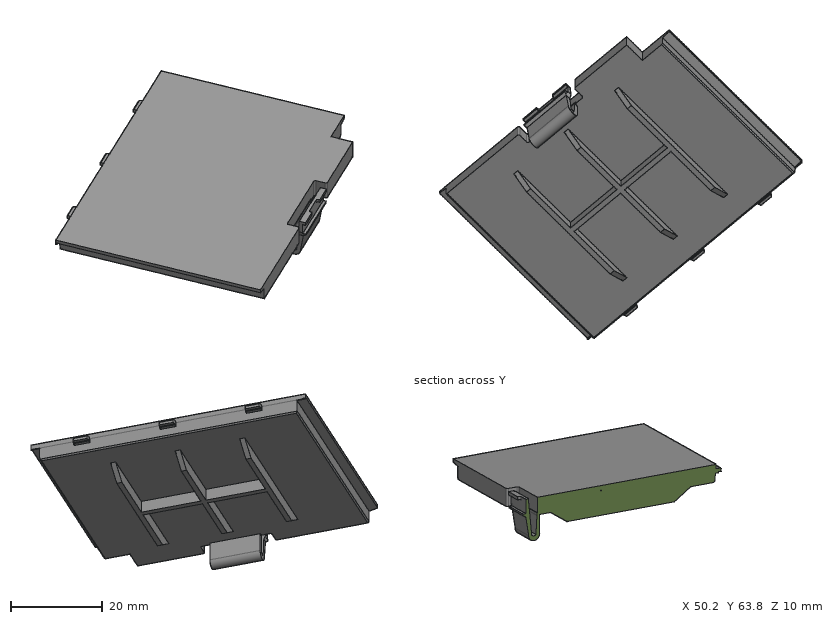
import cadquery as cq


lid_length = 48.2
lid_width = 63.79
lid_edge_depth = 0.8
lid_depth = 1.2
end_strip_thickness = 0.25

rim_overhang = 2.0
body_width = lid_width - 2 * rim_overhang
body_bottom = -4.2
body_end_draft = 0.3
body_bottom_chamfer = 0.3

corner_cut_length = 5.1
corner_cut_width = 8.0
notch_depth = 2.95
notch_width = 16.5
notch_fillet = 0.4

rib_bottom = -7.0
rib_thickness = 1.2
rib_pitch = 15.0
rib_count = 3
rib_center_x = 24.1
rib_top_length = 35.4
rib_bottom_length = 27.1

tab_pitch = 20.0
tab_count = 3
tab_top = -1.0
tab_base_width = 3.6
tab_base_length = 0.65
tab_base_height = 1.15
tab_tip_width = 3.2
tab_reach = 1.35
tab_tip_height = 0.9
tab_tip_chamfer = 0.25

latch_width = 11.7
latch_head_width = 12.7
latch_bottom = -10.0
latch_left = 44.55
latch_bend_width = 2.9
latch_leg_thickness = 0.8
latch_slot_bottom = -8.78
latch_slot_sag = 0.2
latch_slot_left = 45.6
latch_slot_right = 46.55
latch_head_inner = 47.4
latch_head_outer = 48.15
latch_nose = 48.85
latch_root_overlap = 0.6
lip_depth = 0.75
ridge_top = -3.3
ridge_edge_height = 0.5
head_taper_bottom = body_bottom
head_taper_top = -3.0
lip_recess_width = 4.7
lip_recess_fillet = 0.4


def centered_positions(count, pitch):
    return [(i - (count - 1) / 2) * pitch for i in range(count)]


def extrude_along_y(profile, width):
    """Extrude a closed XZ profile symmetrically about Y = 0."""
    return profile.extrude(width / 2, both=True)


def make_lid():
    half_rim = lid_width / 2
    half_body = body_width / 2
    rim_profile = [
        (-half_rim, 0),
        (half_rim, 0),
        (half_rim, -lid_edge_depth),
        (half_body, -lid_depth),
        (-half_body, -lid_depth),
        (-half_rim, -lid_edge_depth),
    ]
    plate = cq.Workplane("YZ").polyline(rim_profile).close().extrude(lid_length)
    strip = cq.Workplane("XY").box(
        end_strip_thickness, lid_width, lid_depth, centered=(False, True, False)
    )
    return plate.union(strip.translate((0, 0, -lid_depth)))


def make_body():
    outline = [
        (0, -lid_depth),
        (lid_length, -lid_depth),
        (lid_length, body_bottom),
        (body_end_draft, body_bottom),
    ]
    body = extrude_along_y(cq.Workplane("XZ").polyline(outline).close(), body_width)
    return body.faces("<Z").edges("<X or <Y or >Y").chamfer(body_bottom_chamfer)


def make_outline_cuts():
    depth = -body_bottom
    corner = (
        cq.Workplane("XY", origin=(0, 0, body_bottom))
        .center(lid_length - corner_cut_length / 2, (lid_width - corner_cut_width) / 2)
        .rect(corner_cut_length, corner_cut_width)
        .extrude(depth)
    )
    notch = (
        cq.Workplane("XY", origin=(0, 0, body_bottom))
        .center(lid_length - notch_depth / 2, 0)
        .rect(notch_depth, notch_width)
        .extrude(depth)
        .edges("|Z and <X")
        .fillet(notch_fillet)
    )
    return corner.union(notch)


def round_notch_mouth(cover):
    """Round the two upright edges where the notch meets the +X face."""
    half_notch = notch_width / 2
    mouth = cq.selectors.BoxSelector(
        (lid_length - notch_fillet, -half_notch - notch_fillet, body_bottom),
        (lid_length + notch_fillet, half_notch + notch_fillet, 0),
    )
    return cover.edges("|Z").edges(mouth).fillet(notch_fillet)


def make_ribs():
    half_top = rib_top_length / 2
    half_bottom = rib_bottom_length / 2
    outline = [
        (rib_center_x - half_top, body_bottom),
        (rib_center_x + half_top, body_bottom),
        (rib_center_x + half_bottom, rib_bottom),
        (rib_center_x - half_bottom, rib_bottom),
    ]
    rib = extrude_along_y(cq.Workplane("XZ").polyline(outline).close(), rib_thickness)
    ribs = cq.Workplane("XY", origin=(rib_center_x, 0, rib_bottom)).box(
        rib_thickness,
        (rib_count - 1) * rib_pitch,
        body_bottom - rib_bottom,
        centered=(True, True, False),
    )
    for y in centered_positions(rib_count, rib_pitch):
        ribs = ribs.union(rib.translate((0, y, 0)))
    return ribs


def make_tab():
    base_run = tab_base_length + body_end_draft
    base = cq.Workplane("XY", origin=(-tab_base_length, 0, tab_top - tab_base_height)).box(
        base_run, tab_base_width, tab_base_height, centered=(False, True, False)
    )
    tip_outline = [
        (-tab_base_length, -tab_base_width / 2),
        (-tab_base_length, tab_base_width / 2),
        (-tab_reach, tab_tip_width / 2),
        (-tab_reach, -tab_tip_width / 2),
    ]
    tip = (
        cq.Workplane("XY", origin=(0, 0, tab_top - tab_tip_height))
        .polyline(tip_outline)
        .close()
        .extrude(tab_tip_height)
        .faces("<X")
        .edges(">Z")
        .chamfer(tab_tip_chamfer)
    )
    return base.union(tip)


def make_latch():
    bend_radius = latch_bend_width / 2
    bend_z = latch_bottom + bend_radius
    slot_corner_z = latch_slot_bottom + latch_slot_sag
    root_z = body_bottom + latch_root_overlap
    profile = (
        cq.Workplane("XZ")
        .moveTo(latch_left, root_z)
        .lineTo(latch_left, bend_z)
        .threePointArc(
            (latch_left + bend_radius, latch_bottom),
            (latch_left + latch_bend_width, bend_z),
        )
        .lineTo(latch_head_outer, body_bottom)
        .lineTo(latch_nose, body_bottom + ridge_edge_height)
        .lineTo(latch_nose, ridge_top)
        .lineTo(latch_head_outer, ridge_top)
        .lineTo(latch_head_outer, -lip_depth)
        .lineTo(latch_nose, -lip_depth)
        .lineTo(latch_nose, 0)
        .lineTo(latch_head_inner, 0)
        .lineTo(latch_slot_right, slot_corner_z)
        .threePointArc(
            ((latch_slot_left + latch_slot_right) / 2, latch_slot_bottom),
            (latch_slot_left, slot_corner_z),
        )
        .lineTo(latch_left + latch_leg_thickness, body_bottom)
        .lineTo(latch_left + latch_leg_thickness, root_z)
        .close()
    )
    blank = extrude_along_y(profile, latch_head_width)

    half_spring = latch_width / 2
    half_head = latch_head_width / 2
    width_outline = [
        (-half_spring, latch_bottom),
        (half_spring, latch_bottom),
        (half_spring, head_taper_bottom),
        (half_head, head_taper_top),
        (half_head, 0),
        (-half_head, 0),
        (-half_head, head_taper_top),
        (-half_spring, head_taper_bottom),
    ]
    envelope = cq.Workplane("YZ").polyline(width_outline).close().extrude(latch_nose)

    lip_recess = (
        cq.Workplane("XY", origin=(latch_head_outer, 0, -lip_depth))
        .box(
            latch_nose - latch_head_outer,
            lip_recess_width,
            lip_depth,
            centered=(False, True, False),
        )
        .edges("|Z and <X")
        .fillet(lip_recess_fillet)
    )
    return blank.intersect(envelope).cut(lip_recess)


cover = make_lid().union(make_body()).cut(make_outline_cuts())
cover = round_notch_mouth(cover)
cover = cover.union(make_ribs())
for tab_y in centered_positions(tab_count, tab_pitch):
    cover = cover.union(make_tab().translate((0, tab_y, 0)))

result = cover.union(make_latch())